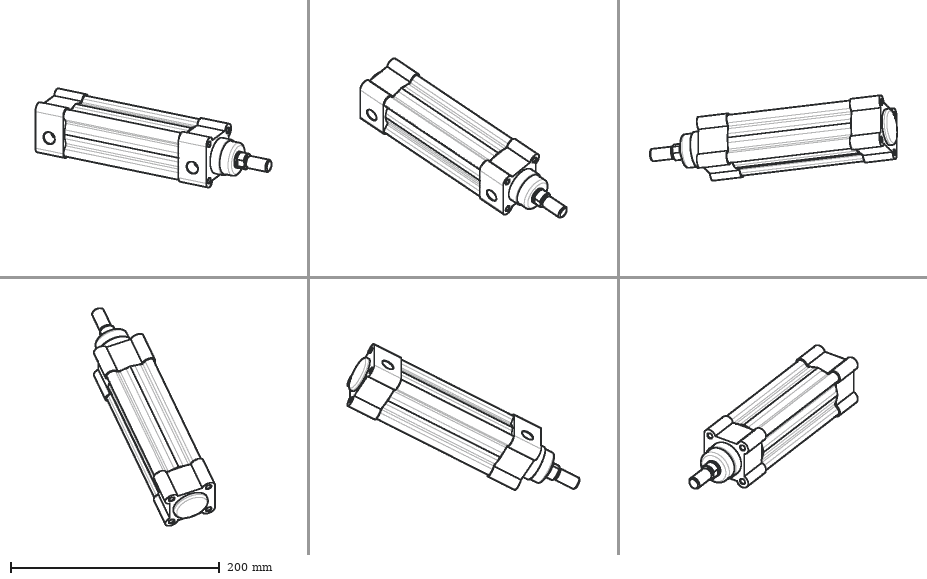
import cadquery as cq
import math


overall_length = 243.7
head_length = 30.0
rear_head_start = 4.0
barrel_length = 125.0
barrel_start = rear_head_start + head_length
barrel_end = barrel_start + barrel_length
front_head_end = barrel_end + head_length
collar_end = 198.5
nose_end = 209.8
shoulder_end = 212.3
wrench_flat_start = 213.0
wrench_end = 220.0
thread_start = 221.3

head_width = 51.5
head_half_width = head_width / 2
corner_pitch = 38.0
corner_offset = corner_pitch / 2
lobe_radius = head_half_width - corner_offset
side_offset = 21.0
bolt_hole_diameter = 5.0
bolt_hole_chamfer = 0.5
bolt_hole_depth = 14.6
port_diameter = 11.7
port_chamfer = 0.5
port_depth = 14.6
port_z = -5.8

boss_radius = 17.5
boss_fillet = 2.0
collar_fillet = 0.7
nose_radius = 16.3
nose_fillet = 2.5

barrel_radius = 22.5
ridge_height = 23.0
rib_width = 10.5
rib_radius = rib_width / 2
root_fillet = 2.0

shoulder_radius = 8.0
shoulder_chamfer = 0.5
wrench_radius = 7.8
wrench_flat_offset = 7.0
wrench_chamfer = 0.5
neck_radius = 5.0
thread_radius = 6.0
thread_root_chamfer = 0.7
thread_tip_chamfer = 1.2

CORNERS = [(y, z) for y in (-corner_offset, corner_offset) for z in (-corner_offset, corner_offset)]


def plane_across_x(x):
    """Plane facing +X at the given station, with local x along Y and local y along Z."""
    return cq.Workplane(cq.Plane(origin=(x, 0, 0), xDir=(0, 1, 0), normal=(1, 0, 0)))


def disc(x_start, x_end, radius):
    """Cylinder on the X axis between two stations."""
    return plane_across_x(x_start).circle(radius).extrude(x_end - x_start)


def make_blind_hole(mouth_centre, direction, diameter, depth, chamfer):
    """Cutting shape for a blind hole with a chamfered mouth."""
    start = cq.Vector(*mouth_centre)
    axis = cq.Vector(*direction)
    radius = diameter / 2
    bore = cq.Solid.makeCylinder(radius, depth, start, axis)
    mouth = cq.Solid.makeCone(radius + chamfer, radius, chamfer, start, axis)
    return cq.Workplane(bore).union(cq.Workplane(mouth))


def make_head_block(x_start, bolt_face_x, bolt_direction):
    """Head with four corner lobes, a flat -Y port face and blind bolt holes in its outer face."""
    core = plane_across_x(x_start).rect(2 * side_offset, 2 * side_offset).extrude(head_length)
    lobes = plane_across_x(x_start).pushPoints(CORNERS).circle(lobe_radius).extrude(head_length)
    port_wall = (
        plane_across_x(x_start)
        .center(-(head_half_width + corner_offset) / 2, 0)
        .rect(head_half_width - corner_offset, corner_pitch)
        .extrude(head_length)
    )
    port = make_blind_hole(
        (x_start + head_length / 2, -head_half_width, port_z),
        (0, 1, 0),
        port_diameter,
        port_depth,
        port_chamfer,
    )
    block = core.union(lobes).union(port_wall).cut(port)
    for y, z in CORNERS:
        bolt_hole = make_blind_hole(
            (bolt_face_x, y, z),
            (bolt_direction, 0, 0),
            bolt_hole_diameter,
            bolt_hole_depth,
            bolt_hole_chamfer,
        )
        block = block.cut(bolt_hole)
    return block


def make_rear_head():
    """Rear head with its rounded centring boss."""
    block = make_head_block(rear_head_start, rear_head_start, 1)
    boss = disc(0, rear_head_start, boss_radius).faces("<X").edges().fillet(boss_fillet)
    return block.union(boss)


def make_front_head():
    """Front head with its stepped collar and nose."""
    block = make_head_block(barrel_end, front_head_end, -1)
    collar = disc(front_head_end, collar_end, boss_radius).faces(">X").edges().fillet(collar_fillet)
    nose = disc(collar_end, nose_end, nose_radius).faces(">X").edges().fillet(nose_fillet)
    return block.union(collar).union(nose)


def polar(radius, angle):
    """Point at a radius from the cylinder axis and an angle from a corner diagonal, as (along, across)."""
    return radius * math.cos(angle), radius * math.sin(angle)


def turned(points, quarter, mirror=1):
    """Points given along and across a corner diagonal, turned to the given quarter, as (Y, Z).

    A mirror of -1 puts them on the other side of the diagonal.
    """
    angle = math.pi / 4 + quarter * math.pi / 2
    return [
        (
            along * math.cos(angle) - mirror * across * math.sin(angle),
            along * math.sin(angle) + mirror * across * math.cos(angle),
        )
        for along, across in points
    ]


def make_barrel():
    """Extruded profile: ridged sides on a round tube, with a rounded rib on every diagonal."""
    fillet_across = rib_radius + root_fillet
    fillet_angle = math.asin(fillet_across / (barrel_radius + root_fillet))
    fillet_along = fillet_across / math.tan(fillet_angle)
    fillet_middle_angle = (math.pi / 2 + fillet_angle) / 2
    ridge_start_angle = math.pi / 4 - math.acos(barrel_radius / ridge_height)

    rib_along = corner_offset * math.sqrt(2)
    tip = (rib_along + rib_radius, 0)
    rib_side_outer = (rib_along, rib_radius)
    rib_side_inner = (fillet_along, rib_radius)
    fillet_middle = (
        fillet_along - root_fillet * math.cos(fillet_middle_angle),
        fillet_across - root_fillet * math.sin(fillet_middle_angle),
    )
    arc_start = polar(barrel_radius, fillet_angle)
    arc_middle = polar(barrel_radius, (fillet_angle + ridge_start_angle) / 2)
    arc_end = polar(barrel_radius, ridge_start_angle)
    ridge = polar(ridge_height, math.pi / 4)
    half_corner = [tip, rib_side_outer, rib_side_inner, fillet_middle, arc_start, arc_middle, arc_end, ridge]

    profile = plane_across_x(barrel_start).moveTo(*turned([ridge], 0, mirror=-1)[0])
    for quarter in range(4):
        _, outer, inner, root, start, middle, end, _ = turned(half_corner, quarter, mirror=-1)
        profile = profile.lineTo(*end).threePointArc(middle, start).threePointArc(root, inner).lineTo(*outer)
        rib_tip, outer, inner, root, start, middle, end, next_ridge = turned(half_corner, quarter)
        profile = profile.threePointArc(rib_tip, outer).lineTo(*inner)
        profile = profile.threePointArc(root, start).threePointArc(middle, end)
        if quarter < 3:
            profile = profile.lineTo(*next_ridge)
    return profile.close().extrude(barrel_length)


def make_piston_rod():
    """Piston rod: shoulder against the nose, wrench flats on the Y sides, neck and threaded end."""
    shoulder = disc(nose_end, shoulder_end, shoulder_radius).faces(">X").edges().chamfer(shoulder_chamfer)
    wrench_part = disc(shoulder_end, wrench_end, wrench_radius).faces(">X").edges().chamfer(wrench_chamfer)
    neck = disc(wrench_end, thread_start, neck_radius)
    thread = (
        disc(thread_start, overall_length, thread_radius)
        .faces("<X")
        .edges()
        .chamfer(thread_root_chamfer)
        .faces(">X")
        .edges()
        .chamfer(thread_tip_chamfer)
    )
    flat_cuts = (
        plane_across_x(wrench_flat_start)
        .pushPoints([(side * (wrench_flat_offset + wrench_radius / 2), 0) for side in (-1, 1)])
        .rect(wrench_radius, 2 * wrench_radius)
        .extrude(wrench_end - wrench_flat_start)
    )
    return shoulder.union(wrench_part.cut(flat_cuts)).union(neck).union(thread)


rear_head = make_rear_head()
barrel = make_barrel()
front_head = make_front_head()
piston_rod = make_piston_rod()

result = cq.Compound.makeCompound(
    [rear_head.val(), barrel.val(), front_head.val(), piston_rod.val()]
)